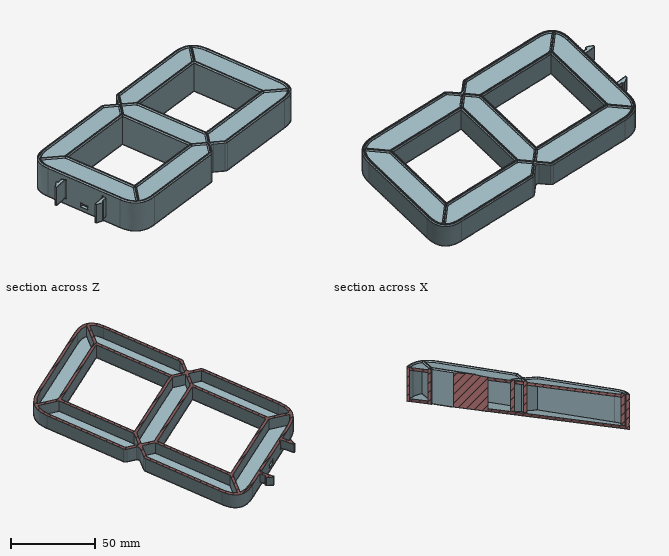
import cadquery as cq
import math


WIDTH = 80.0
LENGTH = 148.0
HEIGHT = 22.0
BAND = 16.0
CORNER_LENGTH = 14.0
NOTCH_MOUTH_RADIUS = 2.7
NOTCH_ROOT_RADIUS = 1.9
SLANT = math.tan(math.radians(5))

WALL = 2.0
RIDGE_CHAMFER = 0.8
DIFFUSER_THICKNESS = 2.0
COVER_THICKNESS = 2.0

CLIP_INNER = 14.0
CLIP_THICKNESS = 2.0
CLIP_HEIGHT = 14.0
CLIP_REACH = 8.5
CLIP_TIP = 1.1
HOOK_OVERHANG = 1.0
HOOK_START = 3.9
HOOK_FLAT = 1.1
RELIEF_WIDTH = 1.0
RELIEF_DEPTH = 1.0
RELIEF_RADIUS = 0.6

CABLE_WIDTH = 5.2
CABLE_HEIGHT = 2.8
CABLE_BOTTOM = 2.8

DIFFUSER_TOP = HEIGHT - RIDGE_CHAMFER
WAIST_X = (WIDTH - BAND) / 2
NOTCH_OFFSET = WALL / math.sqrt(2)
WINDOW_WIDTH = WIDTH - 2 * BAND
WINDOW_LENGTH = (LENGTH - 3 * BAND) / 2
WINDOW_Y = (WINDOW_LENGTH + BAND) / 2
RIB_LENGTH = math.sqrt(2) * BAND + 2 * WALL
CLIP_BOTTOM = (HEIGHT - CLIP_HEIGHT) / 2
FRONT_Y = -LENGTH / 2
FRONT_X = SLANT * FRONT_Y
SIDES = (-1, 1)


def slanted(x, y):
    """Move a point of the upright digit to its place in the slanted one."""
    return (x + SLANT * y, y)


def slanted_prism(points, bottom, top):
    """A prism over a polygon given in the upright digit."""
    corners = [slanted(x, y) for x, y in points]
    return cq.Workplane("XY", origin=(0, 0, bottom)).polyline(corners).close().extrude(top - bottom)


def rounded_slab(bottom, top, inset):
    """The digit's outer shape without notches; each corner is one curve bending toward the sharp corner."""
    straight_x = WIDTH / 2 - CORNER_LENGTH
    straight_y = LENGTH / 2 - CORNER_LENGTH
    outer_x = WIDTH / 2 - inset
    outer_y = LENGTH / 2 - inset
    outline = cq.Workplane("XY", origin=(0, 0, bottom)).moveTo(*slanted(0, -outer_y))
    for side, end in ((1, -1), (1, 1), (-1, 1), (-1, -1)):
        corner = slanted(side * outer_x, end * outer_y)
        on_end_edge = slanted(side * straight_x, end * outer_y)
        on_side_edge = slanted(side * outer_x, end * straight_y)
        if side * end < 0:
            start, finish = on_end_edge, on_side_edge
        else:
            start, finish = on_side_edge, on_end_edge
        outline = outline.lineTo(*start).bezier([corner, finish], includeCurrent=True)
    return outline.close().extrude(top - bottom)


def cut_notches(block, bottom, top, root_x):
    """Cut a V notch into each side of the waist, with its root at the given distance from the middle."""
    mouth_x = WIDTH / 2
    depth = mouth_x - root_x
    for side in SIDES:
        notch = [(side * mouth_x, -depth), (side * root_x, 0), (side * mouth_x, depth)]
        block = block.cut(slanted_prism(notch, bottom, top))
    return block


def windows(bottom, top, margin):
    """The two openings of the digit, enlarged by a margin on every side."""
    half_width = WINDOW_WIDTH / 2 + margin
    half_length = WINDOW_LENGTH / 2 + margin
    openings = cq.Workplane("XY")
    for end in SIDES:
        low = end * WINDOW_Y - half_length
        high = end * WINDOW_Y + half_length
        opening = [(-half_width, low), (half_width, low), (half_width, high), (-half_width, high)]
        openings = openings.add(slanted_prism(opening, bottom, top))
    return openings.combine()


def outer_block():
    """The solid digit with rounded notches and open windows."""
    root_x = WAIST_X + NOTCH_OFFSET
    mouth_y = WIDTH / 2 - root_x
    block = cut_notches(rounded_slab(0, HEIGHT, 0), 0, HEIGHT, root_x)
    mouth_edges = block.edges("|Z").filter(lambda edge: math.isclose(abs(edge.Center().y), mouth_y))
    block = mouth_edges.fillet(NOTCH_MOUTH_RADIUS)
    root_edges = block.edges("|Z").filter(lambda edge: math.isclose(edge.Center().y, 0, abs_tol=0.02))
    block = root_edges.fillet(NOTCH_ROOT_RADIUS)
    return block.cut(windows(0, HEIGHT, 0))


def inner_band(bottom, top):
    """The figure-eight space inside the outer and window walls; at the waist it ends on the ribs' middles."""
    band = cut_notches(rounded_slab(bottom, top, WALL), bottom, top, WAIST_X)
    return band.cut(windows(bottom, top, WALL))


def rib(x, y, rise, bottom, top):
    """One diagonal rib about a point of the upright digit, rising to +X or falling."""
    angle = math.degrees(math.atan2(rise, 1 + SLANT * rise))
    center_x, center_y = slanted(x, y)
    bar = cq.Workplane("XY").box(RIB_LENGTH, WALL, top - bottom)
    return bar.rotate((0, 0, 0), (0, 0, 1), angle).translate((center_x, center_y, (bottom + top) / 2))


def segment_cells(bottom, top):
    """The seven cells that the ribs at the corners and the waist leave of the band."""
    cells = inner_band(bottom, top)
    corner_y = (LENGTH - BAND) / 2
    for side in SIDES:
        for end in SIDES:
            cells = cells.cut(rib(side * WAIST_X, end * corner_y, side * end, bottom, top))
            cells = cells.cut(rib(side * WAIST_X, 0, end, bottom, top))
    return cells


def clip(side):
    """A hooked clip on the -Y wall, hooking toward the given side."""
    outer = CLIP_INNER + CLIP_THICKNESS
    hook = outer + HOOK_OVERHANG
    profile = [
        (CLIP_INNER, -RELIEF_DEPTH),
        (CLIP_INNER, CLIP_REACH),
        (CLIP_INNER + CLIP_TIP, CLIP_REACH),
        (hook, HOOK_START + HOOK_FLAT),
        (hook, HOOK_START),
        (outer, HOOK_START),
        (outer, -RELIEF_DEPTH),
    ]
    points = [(FRONT_X + side * across, FRONT_Y - out) for across, out in profile]
    return cq.Workplane("XY", origin=(0, 0, CLIP_BOTTOM)).polyline(points).close().extrude(CLIP_HEIGHT)


def clip_relief(side):
    """The recess beside a clip, rounded where its floor meets the clip."""
    relief = cq.Workplane("XY").box(RELIEF_WIDTH, RELIEF_DEPTH, CLIP_HEIGHT)
    clip_side = ">X" if side > 0 else "<X"
    relief = relief.edges(f"|Z and {clip_side} and >Y").fillet(RELIEF_RADIUS)
    center_x = FRONT_X + side * (CLIP_INNER - RELIEF_WIDTH / 2)
    return relief.translate((center_x, FRONT_Y + RELIEF_DEPTH / 2, HEIGHT / 2))


def cable_hole():
    """A rectangular hole through the middle of the -Y wall."""
    hole = cq.Workplane("XY").box(CABLE_WIDTH, 2 * WALL, CABLE_HEIGHT)
    return hole.translate((FRONT_X, FRONT_Y + WALL / 2, CABLE_BOTTOM + CABLE_HEIGHT / 2))


def make_housing():
    """The walls and ribs, chamfered on top, with two clips and a cable hole in the -Y wall."""
    body = outer_block()
    body = body.cut(inner_band(0, COVER_THICKNESS))
    body = body.cut(segment_cells(COVER_THICKNESS, HEIGHT))
    body = body.faces(">Z").edges().chamfer(RIDGE_CHAMFER)
    for side in SIDES:
        body = body.cut(clip_relief(side)).union(clip(side))
    return body.cut(cable_hole())


def make_diffusers():
    """Seven plates, one in the top of each cell."""
    return segment_cells(DIFFUSER_TOP - DIFFUSER_THICKNESS, DIFFUSER_TOP).solids()


def make_cover():
    """A flat plate that closes the back of the housing."""
    return inner_band(0, COVER_THICKNESS)


housing = make_housing()
diffusers = make_diffusers()
cover = make_cover()
result = cq.Compound.makeCompound([housing.val(), *diffusers.vals(), cover.val()])